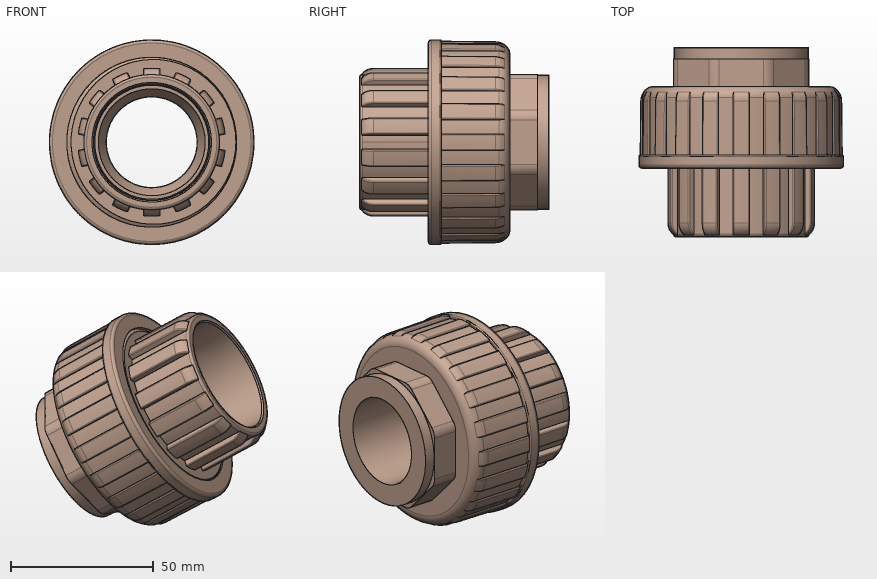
import cadquery as cq
import math


flange_front = 24.05
flange_back = 28.65
nut_back = 52.7
wrench_back = 62.4
total_length = 66.35

tail_radius = 23.8
tail_edge_fillet = 0.9
tail_rib_radius = 25.9
tail_rib_width = 5.8
tail_rib_count = 14
tail_rib_fillet = 0.4
tail_rib_end_radius = 5.0
tail_rib_end_length = 4.8
tail_rib_front = 0.35
tail_rib_root = 21.2

flange_radius = 35.9
flange_front_fillet = 1.1
flange_back_fillet = 0.5
nut_radius = 34.7
nut_back_fillet = 3.9
nut_rib_front_radius = 35.5
nut_rib_back_radius = 35.25
nut_rib_width = 5.9
nut_rib_count = 20
nut_rib_fillet = 0.4
nut_rib_end_radius = 5.2
nut_rib_end_length = 5.1
nut_rib_root = 32.9

rib_bar_height = 5.0
edge_margin = 0.15

opening_radius = 29.8
opening_depth = 2.5
collar_recess = 0.4
collar_face_radius = 28.9
collar_offset_x = 0.61
collar_offset_z = 0.15
collar_bevel_angle = 60.0

wrench_across_flats = 47.5
wrench_corner_radius = 4.9
end_radius = 23.55

mouth_radius = 21.0
mouth_chamfer = 0.5
socket_bottom_radius = 19.995
socket_depth = 26.85
seat_radius = 18.75
seat_cone_angle = 25.0
bore_radius = 15.905

overlap = 0.7


def cylinder(radius, front, back):
    """Solid cylinder on the Y axis between two axial positions."""
    return cq.Workplane("XZ", origin=(0, front, 0)).circle(radius).extrude(front - back)


def turned(profile):
    """Turn an open profile of (radius, axial position) points about the Y axis."""
    return profile.close().revolve(360, (0, 0, 0), (0, 1, 0))


def arc_drop(radius, length):
    """Radius lost over the given length of a rounded rib end."""
    return radius - math.sqrt(radius**2 - length**2)


def rib_ring(envelope, count, width, root_radius, front, back, fillet):
    """Straight ribs spread evenly round the axis, trimmed to a turned envelope."""
    bar = cq.Workplane("XY", origin=(0, front, root_radius)).box(
        width, back - front, rib_bar_height, centered=(True, False, False)
    )
    long_edges = cq.selectors.BoxSelector(
        (-width, front + edge_margin, root_radius + edge_margin),
        (width, back - edge_margin, root_radius + rib_bar_height),
    )
    rib = bar.intersect(envelope).edges(long_edges).fillet(fillet).val()
    axis_start = cq.Vector(0, 0, 0)
    axis_end = cq.Vector(0, 1, 0)
    return [rib.rotate(axis_start, axis_end, index * 360 / count) for index in range(count)]


def tail_body():
    """Plain round body of the tail piece."""
    return cylinder(tail_radius, 0, flange_back).faces("<Y").edges().fillet(tail_edge_fillet)


def tail_ribs():
    """Ribs of the tail piece, rounded off toward the mouth."""
    mouth_end_radius = tail_rib_radius - arc_drop(tail_rib_end_radius, tail_rib_end_length)
    envelope = turned(
        cq.Workplane("XY")
        .lineTo(mouth_end_radius, 0)
        .radiusArc((tail_rib_radius, tail_rib_end_length), -tail_rib_end_radius)
        .lineTo(tail_rib_radius, flange_back)
        .lineTo(0, flange_back)
    )
    return rib_ring(
        envelope, tail_rib_count, tail_rib_width, tail_rib_root, tail_rib_front, flange_back, tail_rib_fillet
    )


def nut_body():
    """Flanged nut with a rounded back edge and a round front opening."""
    barrel = cylinder(nut_radius, flange_back - overlap, nut_back)
    barrel = barrel.faces(">Y").edges().fillet(nut_back_fillet)
    flange = cylinder(flange_radius, flange_front, flange_back)
    flange = flange.faces("<Y").edges().fillet(flange_front_fillet)
    flange = flange.faces(">Y").edges().fillet(flange_back_fillet)
    opening = cylinder(opening_radius, flange_front, flange_front + opening_depth)
    return barrel.union(flange).cut(opening)


def nut_ribs():
    """Slightly tapering grip ribs of the nut, rounded off toward its back."""
    front = flange_back - overlap
    arc_start = nut_back - nut_rib_end_length
    back_end_radius = nut_rib_back_radius - arc_drop(nut_rib_end_radius, nut_rib_end_length)
    envelope = turned(
        cq.Workplane("XY")
        .moveTo(0, front)
        .lineTo(nut_rib_front_radius, front)
        .lineTo(nut_rib_back_radius, arc_start)
        .radiusArc((back_end_radius, nut_back), -nut_rib_end_radius)
        .lineTo(0, nut_back)
    )
    return rib_ring(
        envelope, nut_rib_count, nut_rib_width, nut_rib_root, front, nut_back, nut_rib_fillet
    )


def collar():
    """Collar closing the nut opening, its bevel widening toward the back."""
    front = flange_front + collar_recess
    length = opening_depth - collar_recess + overlap
    return (
        cq.Workplane("XZ", origin=(collar_offset_x, front, collar_offset_z))
        .circle(collar_face_radius)
        .extrude(-length, taper=-collar_bevel_angle)
        .intersect(cylinder(opening_radius + overlap, front, nut_back))
    )


def wrench_end():
    """Octagonal wrench section followed by a short round end."""
    front = nut_back - overlap
    octagon = (
        cq.Workplane("XZ", origin=(0, front, 0))
        .polygon(8, wrench_across_flats, circumscribed=True)
        .extrude(front - wrench_back)
        .edges("|Y")
        .fillet(wrench_corner_radius)
    )
    return octagon.union(cylinder(end_radius, wrench_back, total_length))


def bore():
    """Chamfered, slightly tapered socket, its conical seat and the bore behind it."""
    cone_length = (seat_radius - bore_radius) / math.tan(math.radians(seat_cone_angle))
    return turned(
        cq.Workplane("XY")
        .lineTo(mouth_radius, 0)
        .lineTo(mouth_radius - mouth_chamfer, mouth_chamfer)
        .lineTo(socket_bottom_radius, socket_depth)
        .lineTo(seat_radius, socket_depth)
        .lineTo(bore_radius, socket_depth + cone_length)
        .lineTo(bore_radius, total_length)
        .lineTo(0, total_length)
    )


body = nut_body().union(collar()).union(tail_body()).union(wrench_end()).cut(bore())
all_ribs = cq.Compound.makeCompound(tail_ribs() + nut_ribs())
result = cq.Workplane(body.val().fuse(all_ribs).Solids()[0])